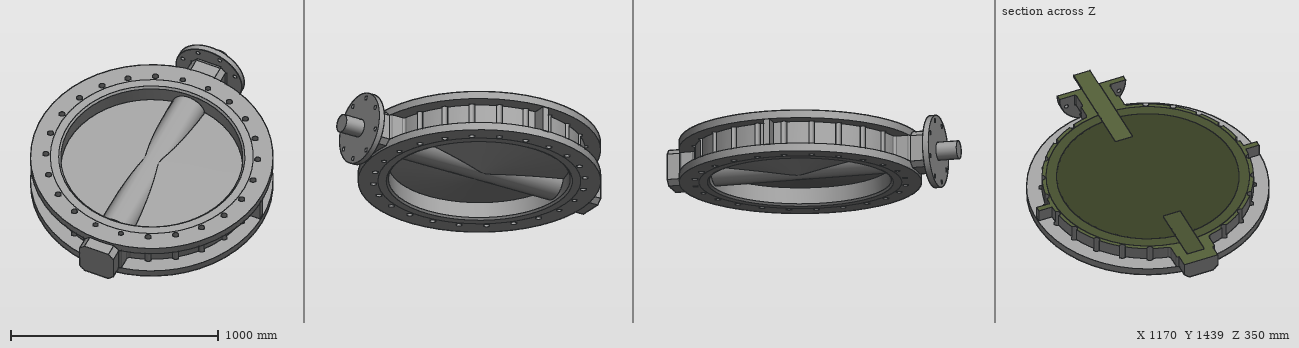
import cadquery as cq
import math


overall_length = 1439.0

housing_height = 205.0
housing_diameter = 1170.0
housing_radius = housing_diameter / 2
plate_thickness = 39.0
web_radius = 511.0
plate_gap = housing_height - 2 * plate_thickness
mid_to_top = housing_height / 2

pipe_bolt_count = 24
pipe_bolt_radius = 511.0
pipe_hole_diameter = 29.0
tapped_hole_diameter = 25.0
tapped_hole_depth = 50.0
drill_tip_angle = 118
bolt_pitch = 360 / pipe_bolt_count
blind_places = [90 + side * bolt_pitch / 2 + turn for turn in (0, 180) for side in (-1, 1)]

rib_thickness = 30.0
root_reach = 580.0
root_width = 201.0
root_wall_fillet = 15.0
root_edge_fillet = 9.0

neck_width = 178.0
neck_chamfer = (neck_width - plate_gap) / 2
closed_neck_reach = 643.0
neck_flare = 6.0

flange_diameter = 350.0
flange_thickness = 30.0
flange_outer_face = 694.0
flange_back_chamfer = 1.0
flange_inner_face = flange_outer_face - flange_thickness
flange_bolt_count = 8
flange_bolt_radius = 150.0
flange_hole_diameter = 20.0
shaft_diameter = 88.0
shaft_end = overall_length - closed_neck_reach
shaft_inner_end = 288.0
stub_shaft_end = 575.0

liner_outer_radius = 489.0
liner_bore_radius = 439.0
liner_chamfer = 10.0

disc_peak = 83.0
disc_rim = 13.0
hub_radius = 86.0
hub_half_length = 429.0


def upright_cylinder(radius, height):
    """Cylinder on the Z axis, centred on the XY plane."""
    return cq.Workplane("XY", origin=(0, 0, -height / 2)).circle(radius).extrude(height)


def shaft_axis_cylinder(radius, start, end):
    """Cylinder on the Y axis from Y = start to Y = end."""
    return cq.Workplane("XZ", origin=(0, start, 0)).circle(radius).extrude(start - end)


def make_web():
    """Thin wall with the two side ribs and the widened roots of the necks."""
    web = upright_cylinder(web_radius, plate_gap)
    roots = cq.Workplane("XY").box(root_width, 2 * root_reach, plate_gap)
    roots = roots.edges("|Z").fillet(root_edge_fillet)
    half_root = root_width / 2
    root_start = math.sqrt(web_radius**2 - half_root**2)
    margin = 1.0
    box_corner = cq.Vector(half_root + margin, root_start + margin, plate_gap)
    corners = cq.selectors.BoxSelector((-box_corner).toTuple(), box_corner.toTuple())
    web = web.union(roots).edges("|Z").edges(corners).fillet(root_wall_fillet)
    ribs = cq.Workplane("XY").box(2 * root_reach, rib_thickness, plate_gap)
    return web.union(ribs)


def make_plates():
    """The two round plates that close the ring at the top and bottom."""
    plates = upright_cylinder(housing_radius, housing_height)
    return plates.cut(upright_cylinder(housing_radius, plate_gap))


def make_necks():
    """Chamfered square bar that forms both necks."""
    length = closed_neck_reach + flange_inner_face
    middle = (flange_inner_face - closed_neck_reach) / 2
    bar = cq.Workplane("XY", origin=(0, middle, 0)).box(neck_width, length, neck_width)
    return bar.edges("|Y").chamfer(neck_chamfer)


def make_neck_flares():
    """Small sloped strips where the four flats of the neck meet the actuator flange."""
    flat = neck_width / 2
    profile = [
        (flange_inner_face, flat),
        (flange_inner_face, flat + neck_flare),
        (flange_inner_face - neck_flare, flat),
    ]
    strip = cq.Workplane("YZ", origin=(-plate_gap / 2, 0, 0)).polyline(profile).close().extrude(plate_gap)
    flares = cq.Workplane("XY")
    for turn in (0, 90, 180, 270):
        flares = flares.add(strip.rotate((0, 0, 0), (0, 1, 0), turn))
    return flares.combine()


def make_actuator_flange():
    """Round flange with a chamfered back edge and a ring of bolt holes."""
    flange = shaft_axis_cylinder(flange_diameter / 2, flange_inner_face, flange_outer_face)
    flange = flange.faces("<Y").chamfer(flange_back_chamfer)
    first_angle = 180 / flange_bolt_count
    holes = (
        cq.Workplane("XZ", origin=(0, flange_inner_face, 0))
        .polarArray(flange_bolt_radius, first_angle, 360, flange_bolt_count)
        .circle(flange_hole_diameter / 2)
        .extrude(-flange_thickness)
    )
    return flange.cut(holes)


def make_blind_hole(angle):
    """Drilled hole with a conical tip, sunk into the top of the ring."""
    radius = tapped_hole_diameter / 2
    tip_depth = radius / math.tan(math.radians(drill_tip_angle / 2))
    floor = mid_to_top - tapped_hole_depth
    profile = [(0, mid_to_top), (radius, mid_to_top), (radius, floor), (0, floor - tip_depth)]
    hole = cq.Workplane("XZ").polyline(profile).close().revolve(360, (0, 0), (0, 1))
    return hole.translate((pipe_bolt_radius, 0, 0)).rotate((0, 0, 0), (0, 0, 1), angle)


def make_pipe_holes():
    """All the pipe bolt holes, through ones and blind ones from both sides."""
    holes = cq.Workplane("XY")
    for number in range(pipe_bolt_count):
        angle = (number + 0.5) * bolt_pitch
        if angle in blind_places:
            top_hole = make_blind_hole(angle)
            holes = holes.add(top_hole).add(top_hole.mirror("XY"))
        else:
            through_hole = upright_cylinder(pipe_hole_diameter / 2, housing_height)
            place = (
                pipe_bolt_radius * math.cos(math.radians(angle)),
                pipe_bolt_radius * math.sin(math.radians(angle)),
                0,
            )
            holes = holes.add(through_hole.translate(place))
    return holes.combine()


def make_drive_shaft():
    return shaft_axis_cylinder(shaft_diameter / 2, shaft_inner_end, shaft_end)


def make_stub_shaft():
    return shaft_axis_cylinder(shaft_diameter / 2, -stub_shaft_end, -shaft_inner_end)


def make_housing():
    housing = make_web().union(make_plates()).union(make_necks())
    housing = housing.union(make_actuator_flange()).union(make_neck_flares())
    housing = housing.cut(upright_cylinder(liner_outer_radius, housing_height))
    housing = housing.cut(make_pipe_holes())
    return housing.cut(make_drive_shaft()).cut(make_stub_shaft())


def make_liner():
    """Sleeve with a chamfered bore, pierced by both shafts."""
    liner = upright_cylinder(liner_outer_radius, housing_height)
    liner = liner.cut(upright_cylinder(liner_bore_radius, housing_height))
    liner = liner.edges(cq.selectors.RadiusNthSelector(0)).chamfer(liner_chamfer)
    return liner.cut(make_drive_shaft()).cut(make_stub_shaft())


def make_disc():
    """Double-cone disc and hub, bored for both shafts."""
    half_section = [
        (0, -disc_peak),
        (liner_bore_radius, -disc_rim),
        (liner_bore_radius, disc_rim),
        (0, disc_peak),
    ]
    disc = cq.Workplane("XZ").polyline(half_section).close().revolve(360, (0, 0), (0, 1))
    disc = disc.union(shaft_axis_cylinder(hub_radius, -hub_half_length, hub_half_length))
    return disc.cut(make_drive_shaft()).cut(make_stub_shaft())


housing = make_housing()
liner = make_liner()
disc = make_disc()
drive_shaft = make_drive_shaft()
stub_shaft = make_stub_shaft()

result = cq.Compound.makeCompound(
    [body.solids().val() for body in (housing, liner, disc, drive_shaft, stub_shaft)]
)